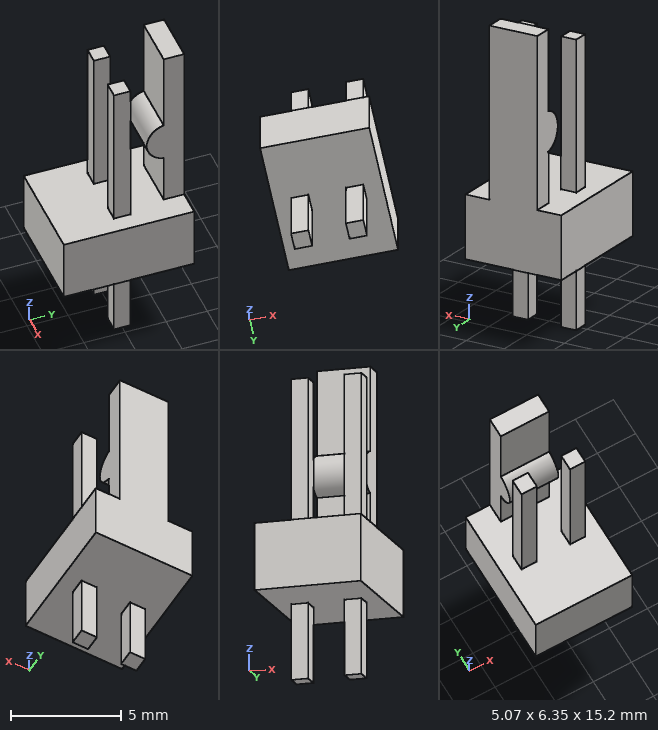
import cadquery as cq

total_height = 15.24
pitch = 2.55
base_width = 5.07
base_depth = 6.35
base_height = 3.17

pin_count = 2
pin_side = 0.81
pin_below_base = 3.57
pin_above_base = 7.47

tab_width = pitch
tab_thickness = 1.0
tab_top = total_height - pin_below_base
back_y = base_depth / 2
tab_front_y = back_y - tab_thickness

bump_center_z = base_height + 3.5
bump_half_height = 0.99
bump_projection = 0.82

pin_positions = [(i - (pin_count - 1) / 2) * pitch for i in range(pin_count)]


def make_pin(x):
    """Straight square pin through the base."""
    return (
        cq.Workplane("XY", origin=(x, 0, -pin_below_base))
        .rect(pin_side, pin_side)
        .extrude(pin_below_base + base_height + pin_above_base)
    )


def make_latch():
    """Tab and bump profile in the YZ plane, extruded across the tab width."""
    return (
        cq.Workplane("YZ")
        .moveTo(back_y, base_height)
        .lineTo(back_y, tab_top)
        .lineTo(tab_front_y, tab_top)
        .lineTo(tab_front_y, bump_center_z + bump_half_height)
        .threePointArc(
            (tab_front_y - bump_projection, bump_center_z),
            (tab_front_y, bump_center_z - bump_half_height),
        )
        .lineTo(tab_front_y, base_height)
        .close()
        .extrude(tab_width / 2, both=True)
    )


def make_housing():
    """Base block with its latch and a fitted hole for each pin."""
    housing = cq.Workplane("XY").rect(base_width, base_depth).extrude(base_height)
    housing = housing.union(make_latch())
    for x in pin_positions:
        housing = housing.cut(make_pin(x))
    return housing


housing = make_housing()
pins = [make_pin(x).val() for x in pin_positions]

result = cq.Compound.makeCompound([housing.val(), *pins])